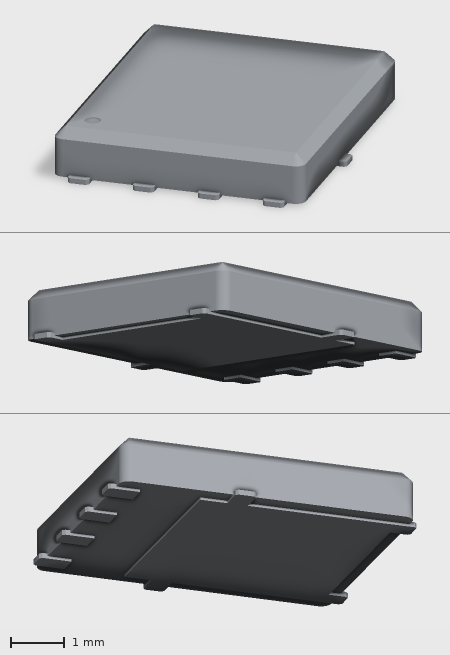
import cadquery as cq

total_height = 1.0
body_length_x = 4.9
body_length_y = 5.8
lead_overhang = 0.15

standoff = 0.05
corner_radius = 0.2
bevel = corner_radius
bevel_taper_angle = -45

mark_radius = 0.15
mark_depth = 0.01
mark_x = -1.85
mark_y = -2.3

metal_thickness = 0.1
lead_width = 0.41
lead_count = 4
lead_pitch = 1.27
tip_chamfer = 0.05
lead_length = 0.62
side_tab_y = -0.5
pad_length_x = (lead_count - 1) * lead_pitch + lead_width
pad_min_y = -1.24
pad_max_y = 2.66

lead_max_x = body_length_x / 2 + lead_overhang
lead_max_y = body_length_y / 2 + lead_overhang
lead_positions = [(i - (lead_count - 1) / 2) * lead_pitch for i in range(lead_count)]


def plate(min_x, max_x, min_y, max_y, beveled_edges):
    """Flat metal piece on the seating plane with the selected edges chamfered."""
    blank = cq.Workplane("XY").box(
        max_x - min_x, max_y - min_y, metal_thickness, centered=False
    )
    return blank.edges(beveled_edges).chamfer(tip_chamfer).translate((min_x, min_y, 0))


def make_body():
    """Block with rounded corners; its bevel turns each corner into a cone ending in a point."""
    wall = (
        cq.Workplane("XY")
        .workplane(offset=standoff)
        .rect(body_length_x, body_length_y)
        .extrude(total_height - bevel - standoff)
        .edges("|Z")
        .fillet(corner_radius)
    )
    cap = (
        cq.Workplane("XY", origin=(0, 0, total_height))
        .rect(body_length_x - 2 * bevel, body_length_y - 2 * bevel)
        .extrude(-bevel, taper=bevel_taper_angle)
    )
    return wall.union(cap)


def make_mark():
    """Cutter for the pin-one dimple."""
    return (
        cq.Workplane("XY", origin=(mark_x, mark_y, total_height))
        .circle(mark_radius)
        .extrude(-mark_depth)
    )


def make_front_lead(center_x):
    """Separate lead under the -Y edge, chamfered at its outer tip."""
    half = lead_width / 2
    return plate(
        center_x - half, center_x + half, -lead_max_y, lead_length - lead_max_y, "|Z and <Y"
    )


def make_pad():
    """Exposed pad with two tabs on the +Y edge and one tab on each X side."""
    half = lead_width / 2
    pad = plate(-pad_length_x / 2, pad_length_x / 2, pad_min_y, pad_max_y, "|Z and >Y")
    for center_x in (lead_positions[0], lead_positions[-1]):
        pad = pad.union(plate(center_x - half, center_x + half, pad_min_y, lead_max_y, "|Z and >Y"))
    side_bar = plate(-lead_max_x, lead_max_x, side_tab_y - half, side_tab_y + half, "|Z")
    return pad.union(side_bar)


result = make_body().cut(make_mark()).union(make_pad())
for lead_x in lead_positions:
    result = result.union(make_front_lead(lead_x))